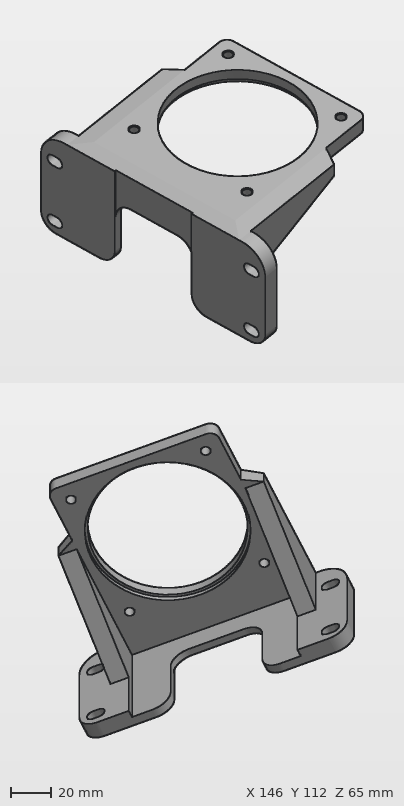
import cadquery as cq

length = 146.0
depth = 112.0
height = 65.0

wall_thickness = 9.0
bevel_drop = 1.5
wall_height = height - bevel_drop
wall_top_radius = 15.0
wall_bottom_radius = 10.0

opening_width = 50.0
opening_height = 42.8
opening_radius = 10.0
recess_depth = 0.9

leg_thickness = 5.0

slot_length = 9.6
slot_width = 6.7
slot_edge_distance = 9.0
slot_low_z = 7.9
slot_high_z = 47.9

plate_width = 92.0
plate_thickness = 9.0
plate_bottom = height - plate_thickness
plate_corner_radius = 5.0

shoulder_width = 112.0
shoulder_outer_y = 74.3
shoulder_inner_y = 79.9
gusset_foot_z = 30.1

bore_diameter = 80.0
bore_center_y = 66.0
bore_relief_diameter = 83.0
bore_relief_height = 2.9
screw_spacing = 73.5
screw_diameter = 5.0
screw_chamfer = 0.5


def make_wall():
    wall = cq.Workplane("XY").box(length, wall_thickness, wall_height, centered=(True, False, False))
    wall = wall.edges("|Y and >Z").fillet(wall_top_radius)
    opening = cq.Workplane("XY").box(
        opening_width, wall_thickness, opening_height, centered=(True, False, False)
    )
    opening = opening.edges("|Y and >Z").fillet(opening_radius)
    wall = wall.cut(opening)
    wall = wall.edges("|Y and <Z").fillet(wall_bottom_radius)
    slot_x = length / 2 - slot_edge_distance
    slot_points = [(x, z) for x in (-slot_x, slot_x) for z in (slot_low_z, slot_high_z)]
    slots = (
        cq.Workplane("XZ").pushPoints(slot_points).slot2D(slot_length, slot_width).extrude(-wall_thickness)
    )
    return wall.cut(slots)


def make_plate():
    plate = (
        cq.Workplane("XY", origin=(0, wall_thickness, plate_bottom))
        .box(plate_width, depth - wall_thickness, plate_thickness, centered=(True, False, False))
    )
    return plate.edges("|Z and >Y").fillet(plate_corner_radius)


def make_front_bevel():
    """Join the plate to the wall with a ramp along the front edge."""
    ramp = [
        (0, plate_bottom),
        (0, wall_height),
        (wall_thickness, height),
        (wall_thickness, plate_bottom),
    ]
    return (
        cq.Workplane("YZ", origin=(-shoulder_width / 2, 0, 0)).polyline(ramp).close().extrude(shoulder_width)
    )


def make_gussets():
    """Side ribs, tapered below and cut obliquely at their rear ends."""
    side = [
        (0, gusset_foot_z),
        (wall_thickness, gusset_foot_z),
        (shoulder_outer_y, plate_bottom),
        (shoulder_inner_y, plate_bottom),
        (shoulder_inner_y, height),
        (0, height),
    ]
    side_plane = cq.Workplane("YZ", origin=(-shoulder_width / 2, 0, 0))
    ribs = side_plane.polyline(side).close().extrude(shoulder_width)
    right_plan = [
        (plate_width / 2, wall_thickness),
        (shoulder_width / 2, 0),
        (shoulder_width / 2, shoulder_outer_y),
        (plate_width / 2, shoulder_inner_y),
    ]
    plan = cq.Workplane("XY").polyline(right_plan).close().extrude(height)
    return ribs.intersect(plan.union(plan.mirror("YZ")))


def make_shoulder_envelope():
    """Roof profile whose sloping sides bevel the shoulders."""
    roof = [
        (-shoulder_width / 2, 0),
        (-shoulder_width / 2, wall_height),
        (-plate_width / 2, height),
        (plate_width / 2, height),
        (shoulder_width / 2, wall_height),
        (shoulder_width / 2, 0),
    ]
    return cq.Workplane("XZ").polyline(roof).close().extrude(-depth)


def make_recess():
    return cq.Workplane("XY").box(opening_width, recess_depth, height, centered=(True, False, False))


def make_rear_pocket():
    """Clearance behind the inner part of the wall, open at the bottom."""
    return (
        cq.Workplane("XY", origin=(0, leg_thickness, 0))
        .box(plate_width, wall_thickness - leg_thickness, plate_bottom, centered=(True, False, False))
    )


def make_plate_holes():
    bore = cq.Workplane("XY", origin=(0, bore_center_y, plate_bottom))
    holes = bore.circle(bore_diameter / 2).extrude(plate_thickness)
    holes = holes.union(bore.circle(bore_relief_diameter / 2).extrude(bore_relief_height))
    screw = bore.circle(screw_diameter / 2).extrude(plate_thickness)
    screw = screw.faces(">Z").workplane(offset=-screw_chamfer).circle(screw_diameter / 2)
    screw = screw.workplane(offset=screw_chamfer).circle(screw_diameter / 2 + screw_chamfer).loft()
    for x in (-screw_spacing / 2, screw_spacing / 2):
        for y in (-screw_spacing / 2, screw_spacing / 2):
            holes = holes.union(screw.translate((x, y, 0)))
    return holes


top = make_front_bevel().union(make_gussets()).intersect(make_shoulder_envelope()).union(make_plate())
result = make_wall().union(top).cut(make_recess()).cut(make_rear_pocket()).cut(make_plate_holes())